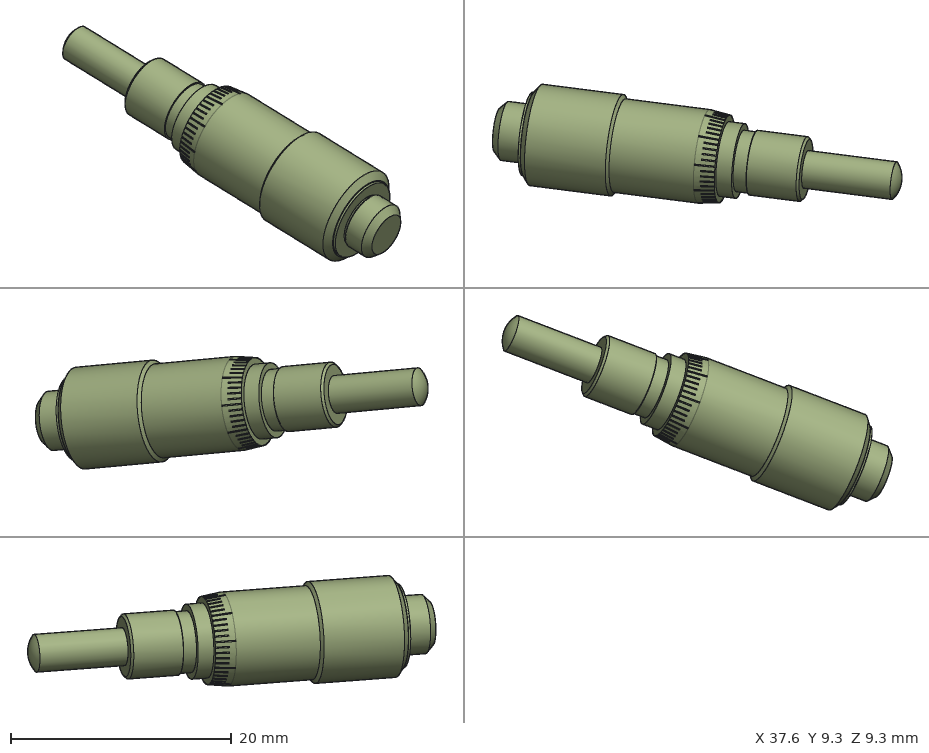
import cadquery as cq
import math


total_length = 37.6
dome_height = 0.65
sleeve_start = 8.87
collar_end = 13.75
neck_end = 15.0
thimble_start = 16.45
bevel_end = 18.35
grip_start = 26.2
grip_cone_end = 26.45
grip_end = 34.0
grip_bevel_end = 34.55
thimble_end = 34.77
button_start = 35.0

spindle_radius = 1.73
collar_radius = 2.97
neck_radius = 2.82
barrel_radius = 3.42
bevel_radius = 4.02
thimble_radius = 4.3
grip_diameter = 9.3
grip_radius = grip_diameter / 2
grip_rim_radius = 3.95
thimble_end_radius = 3.85
button_neck_radius = 2.6
button_radius = 2.7

collar_chamfer = 0.23
button_chamfer = 0.68

mark_count = 50
marks_per_long_mark = 5
first_long_mark = 2
mark_width = 0.1
mark_depth = 0.05
short_mark_length = 1.28

sleeve_end = grip_start
bevel_length = bevel_end - thimble_start
bevel_angle = math.degrees(math.atan2(thimble_radius - bevel_radius, bevel_length))


def cylinder_along_x(start, end, radius):
    return cq.Workplane("YZ", origin=(start, 0, 0)).circle(radius).extrude(end - start)


def make_sleeve():
    """Collar, neck and barrel with a through bore for the spindle."""
    collar = cylinder_along_x(sleeve_start, collar_end, collar_radius)
    collar = collar.faces("<X").chamfer(collar_chamfer)
    neck = cylinder_along_x(collar_end, neck_end, neck_radius)
    barrel = cylinder_along_x(neck_end, sleeve_end, barrel_radius)
    bore = cylinder_along_x(sleeve_start, sleeve_end, spindle_radius)
    return collar.union(neck).union(barrel).cut(bore)


def make_spindle():
    """Round rod with a spherical tip, running back to the bottom of the thimble recess."""
    dome_radius = (spindle_radius**2 + dome_height**2) / (2 * dome_height)
    arc_x = dome_radius - math.sqrt(dome_radius**2 - (spindle_radius / 2) ** 2)
    profile = (
        cq.Workplane("XZ")
        .moveTo(0, 0)
        .threePointArc((arc_x, spindle_radius / 2), (dome_height, spindle_radius))
        .lineTo(sleeve_end, spindle_radius)
        .lineTo(sleeve_end, 0)
        .close()
    )
    return profile.revolve(360, (0, 0, 0), (1, 0, 0))


def make_thimble_shell():
    """Bevelled drum, grip and end button, with a recess for the sleeve."""
    outline = [
        (thimble_start, 0),
        (thimble_start, bevel_radius),
        (bevel_end, thimble_radius),
        (grip_start, thimble_radius),
        (grip_cone_end, grip_radius),
        (grip_end, grip_radius),
        (grip_bevel_end, grip_rim_radius),
        (grip_bevel_end, thimble_end_radius),
        (thimble_end, thimble_end_radius),
        (thimble_end, button_neck_radius),
        (button_start, button_neck_radius),
        (button_start, button_radius),
        (total_length - button_chamfer, button_radius),
        (total_length, button_radius - button_chamfer),
        (total_length, 0),
    ]
    shell = cq.Workplane("XZ").polyline(outline).close().revolve(360, (0, 0, 0), (1, 0, 0))
    return shell.cut(cylinder_along_x(thimble_start, sleeve_end, barrel_radius))


def make_mark_cutter(length):
    """Bar on the -Y side that follows the bevel slope and sinks mark_depth into it."""
    overshoot = 0.38
    bar = cq.Workplane("XY").box(
        length + overshoot, mark_depth + overshoot, mark_width, centered=(False, False, True)
    )
    bar = bar.translate((-overshoot, -overshoot, 0))
    bar = bar.rotate((0, 0, 0), (0, 0, 1), -bevel_angle)
    return bar.translate((thimble_start, -bevel_radius, 0))


def cut_graduation_marks(shell):
    """Evenly spaced marks around the bevel, every fifth one running its full length."""
    short_cutter = make_mark_cutter(short_mark_length)
    long_cutter = make_mark_cutter(bevel_length)
    cutters = []
    for index in range(mark_count):
        is_long = index % marks_per_long_mark == first_long_mark
        cutter = long_cutter if is_long else short_cutter
        angle = index * 360 / mark_count
        cutters.append(cutter.rotate((0, 0, 0), (1, 0, 0), -angle).val())
    return shell.cut(cq.Workplane(cq.Compound.makeCompound(cutters)))


def make_thimble():
    return cut_graduation_marks(make_thimble_shell()).union(make_spindle())


sleeve = make_sleeve()
thimble = make_thimble()

result = cq.Compound.makeCompound([sleeve.solids().val(), thimble.solids().val()])